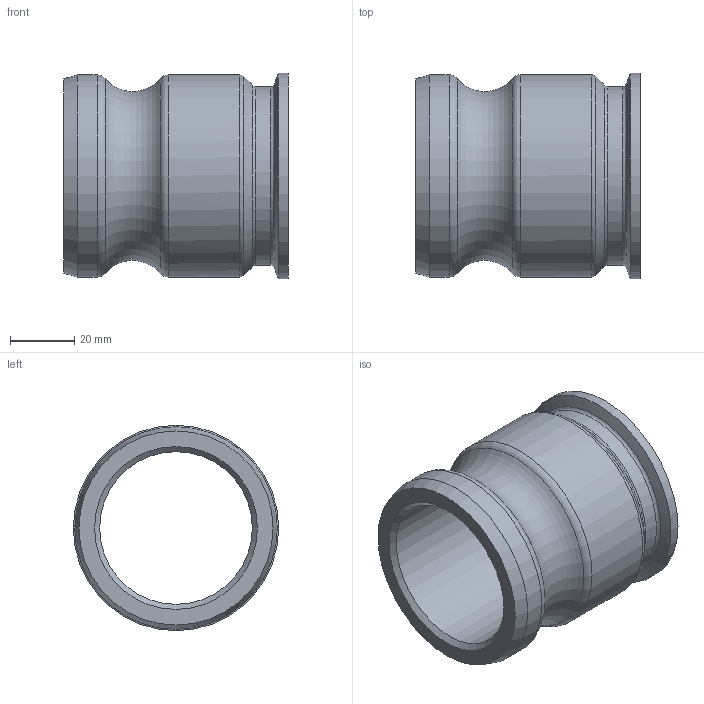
import cadquery as cq
import math

length = 69.85
bore_diameter = 47.5
body_diameter = 62.97
neck_diameter = 55.68
flange_diameter = 63.91

nose_diameter = 60.4
nose_taper_length = 4.2
bore_chamfer = 1.5875

groove_center_x = 21.45
groove_root_diameter = 52.5
groove_radius = 11.11
groove_shoulder_radius = 3.175

step_start_x = 55.45
step_angle = 45.0
step_fillet = 1.5875

flange_rim_width = 3.1
flange_back_angle = 20.0
flange_root_fillet = 1.1

tolerance = 0.01

bore_radius = bore_diameter / 2
body_radius = body_diameter / 2
neck_radius = neck_diameter / 2
flange_radius = flange_diameter / 2


def turned(profile):
    """Revolve a closed profile of (x, radius) about the X axis."""
    return profile.close().revolve(360, (0, 0, 0), (1, 0, 0))


def ring_edge(x, radius):
    """Select the circular edge of the given radius around the axis at x."""
    reach = radius + tolerance
    return cq.selectors.BoxSelector(
        (x - tolerance, -reach, -reach), (x + tolerance, reach, reach), boundingbox=True
    )


def outer_body():
    """Solid outer form with the nose taper, neck step and clamp flange."""
    step_height = body_radius - neck_radius
    step_end_x = step_start_x + step_height / math.tan(math.radians(step_angle))
    rim_start_x = length - flange_rim_width
    flange_slope_length = (flange_radius - neck_radius) * math.tan(math.radians(flange_back_angle))
    flange_root_x = rim_start_x - flange_slope_length
    profile = (
        cq.Workplane("XY")
        .moveTo(0, 0)
        .lineTo(0, nose_diameter / 2)
        .lineTo(nose_taper_length, body_radius)
        .lineTo(step_start_x, body_radius)
        .lineTo(step_end_x, neck_radius)
        .lineTo(flange_root_x, neck_radius)
        .lineTo(rim_start_x, flange_radius)
        .lineTo(length, flange_radius)
        .lineTo(length, 0)
    )
    body = turned(profile)
    body = body.edges(ring_edge(step_start_x, body_radius)).fillet(step_fillet)
    body = body.edges(ring_edge(step_end_x, neck_radius)).fillet(step_fillet)
    return body.edges(ring_edge(flange_root_x, neck_radius)).fillet(flange_root_fillet)


def locking_groove():
    """Ring of material removed by the groove, including its rounded shoulders."""
    arc_center_r = groove_root_diameter / 2 + groove_radius
    shoulder_center_r = body_radius - groove_shoulder_radius
    center_distance = groove_radius + groove_shoulder_radius
    rise = arc_center_r - shoulder_center_r
    half_width = math.sqrt(center_distance**2 - rise**2)
    tangent_offset = half_width * groove_radius / center_distance
    tangent_r = arc_center_r - rise * groove_radius / center_distance
    half_angle = math.atan2(half_width, rise) / 2
    mid_offset = half_width - groove_shoulder_radius * math.sin(half_angle)
    mid_r = shoulder_center_r + groove_shoulder_radius * math.cos(half_angle)
    profile = (
        cq.Workplane("XY")
        .moveTo(groove_center_x - half_width, body_radius)
        .threePointArc(
            (groove_center_x - mid_offset, mid_r), (groove_center_x - tangent_offset, tangent_r)
        )
        .threePointArc(
            (groove_center_x, groove_root_diameter / 2), (groove_center_x + tangent_offset, tangent_r)
        )
        .threePointArc(
            (groove_center_x + mid_offset, mid_r), (groove_center_x + half_width, body_radius)
        )
    )
    return turned(profile)


def through_bore():
    """Straight bore with a chamfered mouth at the nose."""
    profile = (
        cq.Workplane("XY")
        .moveTo(0, 0)
        .lineTo(0, bore_radius + bore_chamfer)
        .lineTo(bore_chamfer, bore_radius)
        .lineTo(length, bore_radius)
        .lineTo(length, 0)
    )
    return turned(profile)


result = outer_body().cut(locking_groove()).cut(through_bore())